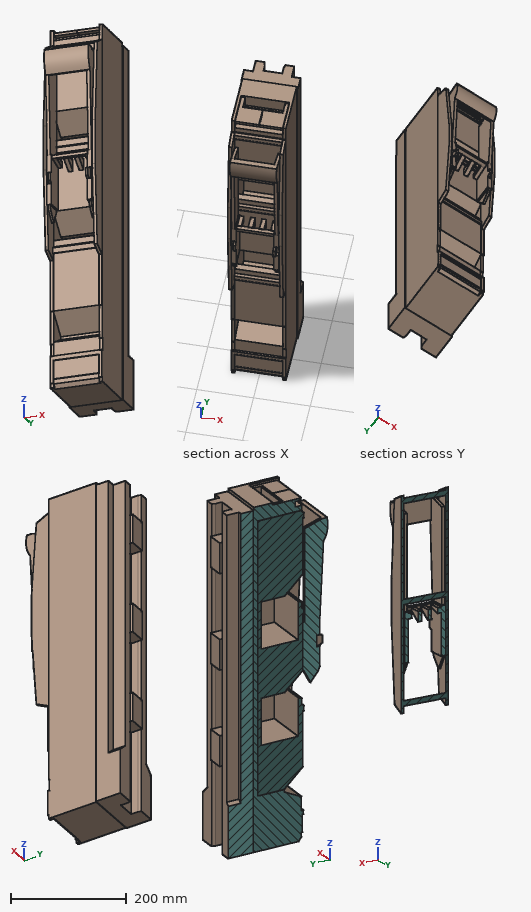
import cadquery as cq


LENGTH = 662.0
POLE_PITCH = 185.0
POLE_COUNT = 3

BASE_HALF_WIDTH = 100.0 / 2
BASE_LENGTH = 656.0
BASE_DEPTH = 50.0
CORNER_WIDTH = 16.0
CORNER_DEPTH = 24.5
CORNER_BOTTOM = 91.5
CORNER_SLOPE_RISE = 15.0
CHANNEL_HALF_WIDTH = 16.5
CHANNEL_DEPTH = 20.0
CHANNEL_FLARE_WIDTH = 2.0
CHANNEL_FLARE_DEPTH = 6.5
HOOK_WIDTH = 30.5
HOOK_HEIGHT = 59.0
HOOK_PROTRUSION = 3.0
HOOK_EDGE_CHAMFER = 1.0
LOWEST_HOOK_CENTRE = 197.0

HOUSING_HALF_WIDTH = 96.0 / 2
HOUSING_FRONT = 148.0
RAIL_INNER = 42.5
CLEARANCE_DEPTH = 212.0
TOP_POCKET_BACK = 89.0
TOP_POCKET_FLOOR = LENGTH - 4.0
TOP_WELL_HALF_WIDTH = 35.0
TOP_WELL_FRONT = 111.0
TOP_WELL_FLOOR = TOP_POCKET_FLOOR - 20.0
TOP_WELL_BEVEL_WIDTH = 2.5
TOP_WELL_BEVEL_DROP = 1.0
TOP_SLOT_WIDTH = 0.5
TOP_SLOT_HEIGHT = 5.0
TOP_SLAB_FRONT = 145.5
TOP_UNDERCUT_BACK = 134.0
TOP_LEDGE_FRONT = 147.5
TOP_LEDGE = 643.5
RAIL_GAP_TOP = 81.0
RAIL_GAP_FRONT = 147.0
LID_TOP = 58.0
LID_BOTTOM = 8.0
LID_FRONT = 150.0
LID_LIP_HEIGHT = 8.0
LID_PANEL_FRONT = 148.0
LID_PANEL_BOTTOM = 16.5
LID_FOOT_FRONT = 146.0
LID_UNDERCUT_FRONT = 141.0
SILL_FRONT = 146.0
SILL_TOP = 85.5
SILL_REAR_HEIGHT = 102.0

COVER_TOP = 633.0
CORE_BACK = 59.5
FIRST_PANEL_TOP = 617.5
PANEL_HEIGHT = 106.5
PANEL_FRONT = 149.5
RIDGE_FRONT = 151.5
RIDGE_HEIGHT = 13.0
RIDGE_BEVEL = 3.0
WEDGE_BACK = 112.5
WEDGE_HEIGHT = 34.5
CAVITY_BACK = 66.0
CAVITY_FLOOR_DROP = 89.5
LIP_DROP = 15.0
LIP_SLOPE = 4.0
LIP_BACK = 139.0
LIP_FRONT = 147.5
FLANGE_FRONT = 150.0
FIN_SHOULDER = 173.5
FIN_CREST = 183.5
FIN_TOP_SHOULDER = 621.0
FIN_CREST_TOP = 473.0
FIN_CREST_BOTTOM = 392.0
FIN_BOTTOM_SHOULDER = 246.0
FIN_BOTTOM = 235.0

ARM_OUTER = 41.0
ARM_INNER = 35.0
ARM_BACK = 152.0
ARM_TOP_BACK = 598.0
ARM_TOP = 608.5
GRIP_BACK = 187.5
GRIP_FRONT = 199.0
GRIP_TOP_FRONT = 197.0
GRIP_CREST = 593.0
GRIP_BOTTOM = 564.0
GRIP_BOTTOM_FRONT = 190.5
CHEEK_OUTER = 42.0
CHEEK_INNER = 33.0
CHEEK_TOP = 419.0
CHEEK_FRONT = 183.5
TOE_OUTER = 40.0
TOE_INNER = 36.0
TOE_TIP = 299.0
TOE_TIP_DEPTH = 164.0
TOE_KNEE = 317.0
TOE_KNEE_DEPTH = 179.5
NOTCH_TOP = 386.0
NOTCH_BOTTOM = 365.5
NOTCH_DEPTH = 6.5
STUD_WIDTH = 4.0
STUD_FRONT = 190.0
STUD_BEVEL = 3.0
CROSSBAR_BACK = 173.5
CROSSBAR_FRONT = 181.5
CROSSBAR_TOP = 418.0
CROSSBAR_HEIGHT = 6.0
GUSSET_TOP_DROP = 1.0
POST_SPACING = 20.0
POST_WIDTH = 8.0
POST_BOTTOM = 396.0
FOOT_WIDTH = 7.0
FOOT_BOTTOM = 405.0

PANEL_TOPS = [FIRST_PANEL_TOP - pole * POLE_PITCH for pole in range(POLE_COUNT)]
COVER_BOTTOM = PANEL_TOPS[-1] - PANEL_HEIGHT
LAST_APEX = COVER_BOTTOM - WEDGE_HEIGHT


def box(x_min, x_max, depth_min, depth_max, z_min, z_max):
    """Axis-aligned block between depth and height limits."""
    size = (x_max - x_min, depth_max - depth_min, z_max - z_min)
    return cq.Workplane("XY").box(*size, centered=False).translate((x_min, -depth_max, z_min))


def prism(outline, x_min, x_max):
    """Side outline of (depth, z) points, swept from x_min to x_max."""
    points = [(-depth, z) for depth, z in outline]
    sketch = cq.Workplane("YZ", origin=(x_min, 0, 0)).polyline(points).close()
    return sketch.extrude(x_max - x_min)


def both_sides(solid):
    """The solid together with its mirror image across the X centre plane."""
    return solid.union(solid.mirror("YZ"))


def make_base():
    base = box(-BASE_HALF_WIDTH, BASE_HALF_WIDTH, 0, BASE_DEPTH, 0, BASE_LENGTH)

    corner_inner = BASE_HALF_WIDTH - CORNER_WIDTH
    corner = (
        cq.Workplane("XZ")
        .moveTo(BASE_HALF_WIDTH, CORNER_BOTTOM)
        .lineTo(BASE_HALF_WIDTH, BASE_LENGTH)
        .lineTo(corner_inner, BASE_LENGTH)
        .lineTo(corner_inner, CORNER_BOTTOM + CORNER_SLOPE_RISE)
        .close()
        .extrude(CORNER_DEPTH)
    )
    base = base.cut(corner).cut(corner.mirror("YZ"))

    mouth = CHANNEL_HALF_WIDTH + CHANNEL_FLARE_WIDTH
    channel = (
        cq.Workplane("XY")
        .moveTo(-mouth, 0)
        .lineTo(mouth, 0)
        .lineTo(CHANNEL_HALF_WIDTH, -CHANNEL_FLARE_DEPTH)
        .lineTo(CHANNEL_HALF_WIDTH, -CHANNEL_DEPTH)
        .lineTo(-CHANNEL_HALF_WIDTH, -CHANNEL_DEPTH)
        .lineTo(-CHANNEL_HALF_WIDTH, -CHANNEL_FLARE_DEPTH)
        .close()
        .extrude(BASE_LENGTH)
    )
    base = base.cut(channel)

    for pole in range(POLE_COUNT):
        bottom = LOWEST_HOOK_CENTRE + pole * POLE_PITCH - HOOK_HEIGHT / 2
        hook = box(
            -HOOK_WIDTH / 2, HOOK_WIDTH / 2, -HOOK_PROTRUSION, CHANNEL_DEPTH, bottom, bottom + HOOK_HEIGHT
        )
        base = base.union(hook.edges("|Z and <Y").chamfer(HOOK_EDGE_CHAMFER))
    return base


def cut_top_end(housing):
    """Pocket, well, centre slot and undercut slab at the upper end."""
    pocket = box(-RAIL_INNER, RAIL_INNER, TOP_POCKET_BACK, CLEARANCE_DEPTH, TOP_POCKET_FLOOR, LENGTH)
    well = prism(
        [
            (TOP_POCKET_BACK, TOP_WELL_FLOOR),
            (TOP_POCKET_BACK, TOP_POCKET_FLOOR),
            (TOP_WELL_FRONT, TOP_POCKET_FLOOR),
            (TOP_WELL_FRONT - TOP_WELL_BEVEL_WIDTH, TOP_POCKET_FLOOR - TOP_WELL_BEVEL_DROP),
            (TOP_WELL_FRONT - TOP_WELL_BEVEL_WIDTH, TOP_WELL_FLOOR),
        ],
        -TOP_WELL_HALF_WIDTH,
        TOP_WELL_HALF_WIDTH,
    )
    slab_bottom = TOP_POCKET_FLOOR - TOP_SLOT_HEIGHT
    slot = box(
        -TOP_SLOT_WIDTH / 2, TOP_SLOT_WIDTH / 2, TOP_WELL_FRONT, CLEARANCE_DEPTH, slab_bottom, LENGTH
    )
    stepped_front = prism(
        [
            (TOP_SLAB_FRONT, LENGTH),
            (TOP_SLAB_FRONT, slab_bottom),
            (TOP_UNDERCUT_BACK, slab_bottom),
            (TOP_UNDERCUT_BACK, TOP_LEDGE),
            (TOP_LEDGE_FRONT, TOP_LEDGE),
            (TOP_LEDGE_FRONT, COVER_TOP),
            (CLEARANCE_DEPTH, COVER_TOP),
            (CLEARANCE_DEPTH, LENGTH),
        ],
        -RAIL_INNER,
        RAIL_INNER,
    )
    return housing.cut(pocket).cut(well).cut(slot).cut(stepped_front)


def cut_cover_seat(housing):
    """Recess for the cover core, running into the sloped sill below it."""
    seat = prism(
        [
            (CORE_BACK, COVER_TOP),
            (CLEARANCE_DEPTH, COVER_TOP),
            (CLEARANCE_DEPTH, LID_TOP),
            (SILL_FRONT, LID_TOP),
            (SILL_FRONT, SILL_TOP),
            (WEDGE_BACK, SILL_REAR_HEIGHT),
            (WEDGE_BACK, LAST_APEX),
            (CORE_BACK, LAST_APEX),
        ],
        -RAIL_INNER,
        RAIL_INNER,
    )
    return housing.cut(seat)


def shape_bottom_end(housing):
    """Terminal lid between the rails, with a gap in the rails above it."""
    rail_gap = both_sides(
        box(RAIL_INNER, HOUSING_HALF_WIDTH, RAIL_GAP_FRONT, CLEARANCE_DEPTH, LID_TOP, RAIL_GAP_TOP)
    )
    lid_rails = box(
        -HOUSING_HALF_WIDTH, HOUSING_HALF_WIDTH, HOUSING_FRONT, LID_FRONT, LID_BOTTOM, LID_TOP
    )
    lip_bottom = LID_TOP - LID_LIP_HEIGHT
    lid_front = prism(
        [
            (LID_FRONT, lip_bottom),
            (LID_PANEL_FRONT, lip_bottom),
            (LID_PANEL_FRONT, LID_PANEL_BOTTOM),
            (LID_FOOT_FRONT, LID_PANEL_BOTTOM),
            (LID_FOOT_FRONT, LID_BOTTOM),
            (LID_UNDERCUT_FRONT, 0),
            (CLEARANCE_DEPTH, 0),
            (CLEARANCE_DEPTH, lip_bottom),
        ],
        -RAIL_INNER,
        RAIL_INNER,
    )
    return housing.cut(rail_gap).union(lid_rails).cut(lid_front)


def make_housing():
    housing = box(-HOUSING_HALF_WIDTH, HOUSING_HALF_WIDTH, BASE_DEPTH, HOUSING_FRONT, 0, LENGTH)
    housing = cut_top_end(housing)
    housing = cut_cover_seat(housing)
    return shape_bottom_end(housing)


def core_outline():
    """Side outline of the cover core: ridge and panel for each pole, then the undercut below."""
    outline = [(CORE_BACK, LAST_APEX), (CORE_BACK, COVER_TOP), (LIP_FRONT, COVER_TOP)]
    for panel_top in PANEL_TOPS:
        ridge_top = panel_top + RIDGE_HEIGHT
        panel_bottom = panel_top - PANEL_HEIGHT
        apex = panel_bottom - WEDGE_HEIGHT
        outline += [
            (LIP_FRONT, ridge_top),
            (RIDGE_FRONT, ridge_top - RIDGE_BEVEL),
            (RIDGE_FRONT, panel_top),
            (PANEL_FRONT, panel_top),
            (PANEL_FRONT, panel_bottom),
        ]
        if panel_top == PANEL_TOPS[-1]:
            outline.append((WEDGE_BACK, apex))
        else:
            cavity_floor = apex - CAVITY_FLOOR_DROP
            lip_top = apex - LIP_DROP
            outline += [
                (WEDGE_BACK, apex),
                (CAVITY_BACK, apex),
                (CAVITY_BACK, cavity_floor),
                (LIP_BACK, cavity_floor),
                (LIP_BACK, lip_top),
                (LIP_FRONT, lip_top - LIP_SLOPE),
            ]
    return outline


def make_cover():
    fin = prism(
        [
            (HOUSING_FRONT, COVER_BOTTOM),
            (HOUSING_FRONT, COVER_TOP),
            (FLANGE_FRONT, COVER_TOP),
            (FIN_SHOULDER, FIN_TOP_SHOULDER),
            (FIN_CREST, FIN_CREST_TOP),
            (FIN_CREST, FIN_CREST_BOTTOM),
            (FIN_SHOULDER, FIN_BOTTOM_SHOULDER),
            (FLANGE_FRONT, FIN_BOTTOM),
            (FLANGE_FRONT, COVER_BOTTOM),
        ],
        RAIL_INNER,
        HOUSING_HALF_WIDTH,
    )
    core = prism(core_outline(), -RAIL_INNER, RAIL_INNER)
    return core.union(fin).union(fin.mirror("YZ"))


def make_grip():
    """Arms and grip bar: the full-width lever outline, hollowed between the arms."""
    lever = (
        cq.Workplane("YZ", origin=(-ARM_OUTER, 0, 0))
        .moveTo(-ARM_BACK, CHEEK_TOP)
        .lineTo(-ARM_BACK, ARM_TOP_BACK)
        .lineTo(-GRIP_BACK, ARM_TOP)
        .lineTo(-GRIP_TOP_FRONT, ARM_TOP)
        .threePointArc((-GRIP_FRONT, GRIP_CREST), (-GRIP_BOTTOM_FRONT, GRIP_BOTTOM))
        .lineTo(-CHEEK_FRONT, CHEEK_TOP)
        .close()
        .extrude(2 * ARM_OUTER)
    )
    behind_grip = box(-ARM_INNER, ARM_INNER, 0, GRIP_BACK, 0, LENGTH)
    below_grip = box(-ARM_INNER, ARM_INNER, 0, CLEARANCE_DEPTH, 0, GRIP_BOTTOM)
    return lever.cut(behind_grip).cut(below_grip)


def make_cheek():
    """Wide lower end of the right arm, with side notch, stud and tapered toe."""
    cheek_bottom = PANEL_TOPS[1] - PANEL_HEIGHT
    cheek = box(CHEEK_INNER, CHEEK_OUTER, PANEL_FRONT, CHEEK_FRONT, cheek_bottom, CHEEK_TOP)
    stud_outer = CHEEK_INNER + STUD_WIDTH
    notch = box(
        stud_outer, CHEEK_OUTER, CHEEK_FRONT - NOTCH_DEPTH, CHEEK_FRONT, NOTCH_BOTTOM, NOTCH_TOP
    )
    stud = prism(
        [
            (CHEEK_FRONT, NOTCH_BOTTOM),
            (STUD_FRONT, NOTCH_BOTTOM + STUD_BEVEL),
            (STUD_FRONT, NOTCH_TOP - STUD_BEVEL),
            (CHEEK_FRONT, NOTCH_TOP),
        ],
        CHEEK_INNER,
        stud_outer,
    )
    toe = prism(
        [
            (PANEL_FRONT, cheek_bottom),
            (CHEEK_FRONT, cheek_bottom),
            (TOE_KNEE_DEPTH, TOE_KNEE),
            (TOE_TIP_DEPTH, TOE_TIP),
        ],
        TOE_INNER,
        TOE_OUTER,
    )
    return cheek.cut(notch).union(stud).union(toe)


def make_gusset(x_min, x_max, bottom):
    """Strut from the cover panel to the crossbar, with a sloped underside."""
    return prism(
        [
            (PANEL_FRONT, CROSSBAR_TOP - GUSSET_TOP_DROP),
            (CROSSBAR_BACK, CROSSBAR_TOP - GUSSET_TOP_DROP),
            (CROSSBAR_BACK, CROSSBAR_TOP - CROSSBAR_HEIGHT),
            (PANEL_FRONT, bottom),
        ],
        x_min,
        x_max,
    )


def make_crossbar():
    """Bar between the cheeks, with two posts reaching the cover and end feet."""
    bar_bottom = CROSSBAR_TOP - CROSSBAR_HEIGHT
    crossbar = box(-CHEEK_INNER, CHEEK_INNER, CROSSBAR_BACK, CROSSBAR_FRONT, bar_bottom, CROSSBAR_TOP)
    post_inner = (POST_SPACING - POST_WIDTH) / 2
    post = make_gusset(post_inner, post_inner + POST_WIDTH, POST_BOTTOM)
    foot = make_gusset(CHEEK_INNER - FOOT_WIDTH, CHEEK_INNER, FOOT_BOTTOM)
    return crossbar.union(both_sides(post)).union(both_sides(foot))


def make_handle():
    cheek = make_cheek()
    return make_grip().union(cheek).union(cheek.mirror("YZ")).union(make_crossbar())


base = make_base()
housing = make_housing()
cover = make_cover()
handle = make_handle()

result = cq.Compound.makeCompound([body.solids().val() for body in (base, housing, cover, handle)])